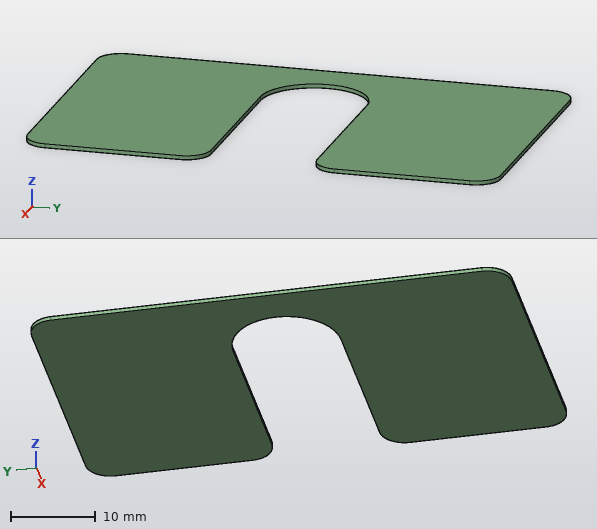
import cadquery as cq

length_x = 36.0
width_y = 58.0
thickness = 0.5
corner_radius = 3.0

slot_width = 13.0
web_width = 5.0

slot_radius = slot_width / 2
right_edge = length_x / 2
slot_center_x = -right_edge + web_width + slot_radius


def make_plate():
    """Flat rectangular plate resting on Z = 0."""
    return cq.Workplane("XY").box(length_x, width_y, thickness, centered=(True, True, False))


def make_slot():
    """Round-ended cutter running from the slot's end out to the +X edge."""
    return (
        cq.Workplane("XY")
        .moveTo(right_edge, slot_radius)
        .lineTo(slot_center_x, slot_radius)
        .threePointArc((slot_center_x - slot_radius, 0), (slot_center_x, -slot_radius))
        .lineTo(right_edge, -slot_radius)
        .close()
        .extrude(thickness)
    )


slotted_plate = make_plate().cut(make_slot())
left_corners = slotted_plate.edges("|Z").edges("<X")
right_corners = slotted_plate.edges("|Z").edges(">X")

result = slotted_plate.newObject(left_corners.vals() + right_corners.vals()).fillet(corner_radius)